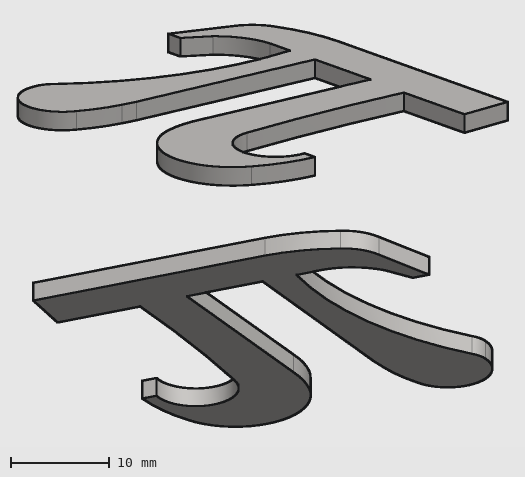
import cadquery as cq

width = 39.1
height = 37.3
thickness = 2.0

bar_underside = 31.65
bar_right_underside = 31.4
bar_top_start = 13.17
serif_bottom = 26.05
serif_width = 1.85
serif_outer_top = (2.58, 32.6)
cap_joint = (5.47, 35.6)
cap_top_mid = (9.15, 36.82)
cap_corner_mid = (3.67, 34.4)
serif_inner_top = (3.65, 28.9)
serif_inner_mid = (6.05, 30.8)
underside_start = 9.2

left_leg_outer_x = 12.25
left_leg_outer_mid = (10.3, 17.9)
left_leg_inner_x = 16.03
left_leg_inner_end = (13.95, 9.23)
bulb_flare_start = (13.7, 7.5)
bulb_flare_mid = (13.1, 5.12)
bulb_center_x = 7.9
bulb_left = (3.45, 5.15)
bulb_shoulder = (4.2, 6.8)
bulb_shoulder_mid = (3.65, 5.95)
bulb_right = (12.1, 2.75)

right_leg_inner_x = 24.5
right_leg_outer_x = 29.85
right_leg_outer_mid = (28.95, 20.33)
right_leg_inner_end = (22.48, 10.35)
hook_left = (22.75, 5.95)
hook_bend_mid = (22.4, 8.2)
hook_bottom = (30.2, 0.1)
hook_right = (37.0, 4.25)
hook_outer_mid = (38.4, 7.5)
hook_tip_y = 11.05
hook_inner_radius = 4.38
hook_inner_center_x = 33.1
hook_inner_left = hook_inner_center_x - hook_inner_radius
hook_inner_right = hook_inner_center_x + hook_inner_radius

outline = (
    cq.Workplane("XY")
    .moveTo(0, serif_bottom)
    .lineTo(*serif_outer_top)
    .threePointArc(cap_corner_mid, cap_joint)
    .threePointArc(cap_top_mid, (bar_top_start, height))
    .lineTo(width, height)
    .lineTo(width, bar_right_underside)
    .lineTo(right_leg_outer_x, bar_right_underside)
    .threePointArc(right_leg_outer_mid, (hook_inner_left, hook_tip_y))
    .threePointArc(
        (hook_inner_center_x, hook_tip_y - hook_inner_radius),
        (hook_inner_right, hook_tip_y),
    )
    .lineTo(width, hook_tip_y)
    .threePointArc(hook_outer_mid, hook_right)
    .threePointArc(hook_bottom, hook_left)
    .threePointArc(hook_bend_mid, right_leg_inner_end)
    .lineTo(right_leg_inner_x, bar_underside)
    .lineTo(left_leg_inner_x, bar_underside)
    .lineTo(*left_leg_inner_end)
    .lineTo(*bulb_flare_start)
    .threePointArc(bulb_flare_mid, bulb_right)
    .threePointArc((bulb_center_x, 0), bulb_left)
    .threePointArc(bulb_shoulder_mid, bulb_shoulder)
    .threePointArc(left_leg_outer_mid, (left_leg_outer_x, bar_underside))
    .lineTo(underside_start, bar_underside)
    .threePointArc(serif_inner_mid, serif_inner_top)
    .lineTo(serif_width, serif_bottom)
    .close()
)

result = outline.extrude(thickness)